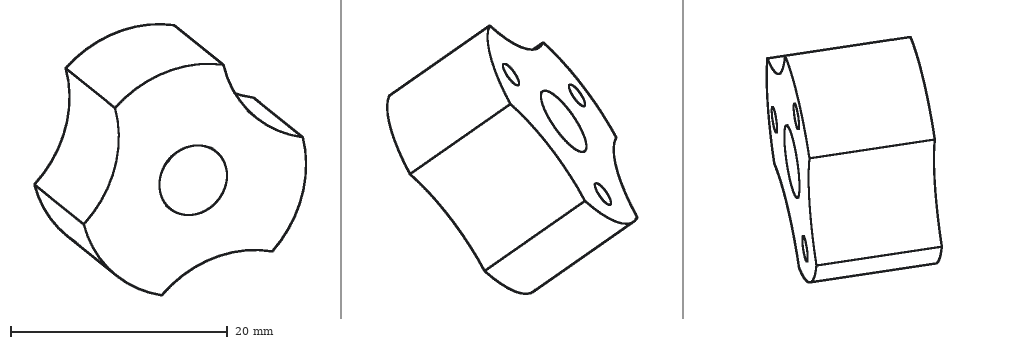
import cadquery as cq

thickness = 11.83
outer_diameter = 22.59
bore_diameter = 6.75

lobe_count = 3
lobe_angle = 104.1
lobe_pitch = 360 / lobe_count

scallop_radius = 11.0
scallop_center_distance = 19.16

pin_hole_diameter = 2.38
pin_hole_circle_radius = 8.11
pin_hole_depth = thickness / 2


def polar_points(radius, start_angle):
    """Workplane with one point per lobe, evenly spaced around the axis."""
    return cq.Workplane("YZ").polarArray(radius, start_angle, 360, lobe_count, rotate=False)


def scalloped_body():
    """Round blank with a concave cylindrical scallop midway between lobes."""
    blank = cq.Workplane("YZ").circle(outer_diameter / 2).extrude(thickness)
    scallop_angle = lobe_angle + lobe_pitch / 2
    scallop_centers = polar_points(scallop_center_distance, scallop_angle)
    scallops = scallop_centers.circle(scallop_radius).extrude(thickness)
    return blank.cut(scallops)


def center_bore():
    """Round hole through the full thickness."""
    return cq.Workplane("YZ").circle(bore_diameter / 2).extrude(thickness)


def pin_holes():
    """Blind holes, one in each lobe, open on the -X face."""
    centers = polar_points(pin_hole_circle_radius, lobe_angle)
    return centers.circle(pin_hole_diameter / 2).extrude(pin_hole_depth)


result = scalloped_body().cut(center_bore()).cut(pin_holes())